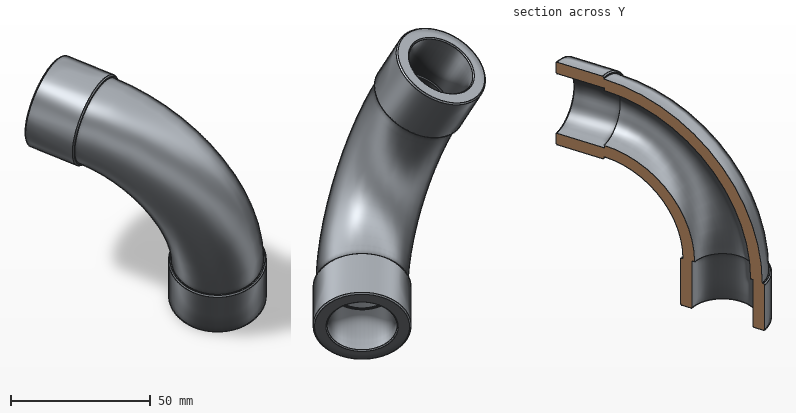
import cadquery as cq

overall = 86.5
socket_diameter = 35.0
socket_length = 20.0
socket_bore = 25.0
outer_chamfer = 0.5
bore_chamfer = 0.4

pipe_diameter = 33.0
pipe_bore = 23.0

axis_offset = overall - socket_diameter / 2
bend_radius = axis_offset - socket_length

inlet_face = cq.Plane(origin=(0, 0, 0), xDir=(0, 1, 0), normal=(1, 0, 0))
outlet_face = cq.Plane(origin=(axis_offset, 0, -axis_offset), xDir=(1, 0, 0), normal=(0, 0, 1))


def quarter_bend(diameter):
    """Solid quarter torus from the inner end of the inlet to that of the outlet."""
    start = cq.Workplane(inlet_face).workplane(offset=socket_length).circle(diameter / 2)
    axis = (
        cq.Workplane("XZ")
        .moveTo(socket_length, 0)
        .radiusArc((axis_offset, -bend_radius), bend_radius)
    )
    return start.sweep(axis)


def socket_body(face):
    """Cylinder with both outer rims chamfered."""
    body = cq.Workplane(face).circle(socket_diameter / 2).extrude(socket_length)
    return body.edges("%CIRCLE").chamfer(outer_chamfer)


def socket_cavity(face):
    """Straight bore that widens to a chamfer at the open end."""
    bore = cq.Workplane(face).circle(socket_bore / 2).extrude(socket_length)
    mouth = (
        cq.Workplane(face)
        .circle(socket_bore / 2 + bore_chamfer)
        .workplane(offset=bore_chamfer)
        .circle(socket_bore / 2)
        .loft(ruled=True)
    )
    return bore.union(mouth)


result = quarter_bend(pipe_diameter)
for end_face in (inlet_face, outlet_face):
    result = result.union(socket_body(end_face))

result = result.cut(quarter_bend(pipe_bore))
for end_face in (inlet_face, outlet_face):
    result = result.cut(socket_cavity(end_face))